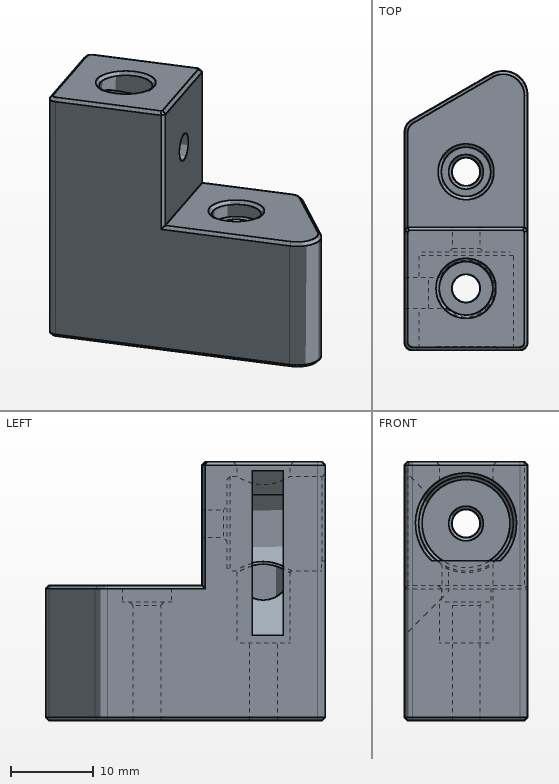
import cadquery as cq
import math

width = 15.0
length = 34.0
height = 31.5
shoulder_height = 16.45
tower_length = 15.0
edge_chamfer = 0.4
front_radius = 1.0

slant_angle = math.radians(30)
nose_radius = 2.95
rear_corner_radius = 1.77

center_x = width / 2
screw_diameter = 3.4

bore_diameter = 11.5
bore_height = 23.98
lip_height = 19.45
lip_thickness = 0.5
bore_depth = 12.0

pocket_diameter = 6.5
pocket_y = 7.55
pocket_bottom = 9.45
crossing_chamfer = 0.2

counterbore_diameter = 6.0
counterbore_y = 21.73
counterbore_depth = 2.0

slot_start_y = 5.1
slot_width = 3.8
slot_bottom = 10.4
slot_top = 30.4


def make_base():
    """Base block whose rear edge slants from a rounded corner up to a rounded nose."""
    nose_x = width - nose_radius
    nose_y = length - nose_radius
    tangent_x = nose_x - nose_radius * math.sin(slant_angle)
    tangent_y = nose_y + nose_radius * math.cos(slant_angle)
    corner_y = tangent_y - tangent_x * math.tan(slant_angle)
    mid_angle = (math.pi / 2 + slant_angle) / 2
    outline = (
        cq.Workplane("XY")
        .lineTo(width, 0)
        .lineTo(width, nose_y)
        .threePointArc(
            (nose_x + nose_radius * math.cos(mid_angle), nose_y + nose_radius * math.sin(mid_angle)),
            (tangent_x, tangent_y),
        )
        .lineTo(0, corner_y)
        .close()
    )
    base = outline.extrude(shoulder_height)
    base = base.edges("|Z and <Y").fillet(front_radius)
    rear_corner = cq.selectors.NearestToPointSelector((0, corner_y, shoulder_height / 2))
    base = base.edges(rear_corner).fillet(rear_corner_radius)
    return base.faces("<Z or >Z").chamfer(edge_chamfer)


def make_tower():
    """Square front tower, standing on the bottom chamfer of the base."""
    tower = cq.Workplane("XY").box(width, tower_length, height - edge_chamfer, centered=False)
    tower = tower.translate((0, 0, edge_chamfer))
    tower = tower.edges("|Z and <Y").fillet(front_radius)
    tower = tower.edges("|Z and >Y").chamfer(edge_chamfer)
    return tower.faces(">Z").chamfer(edge_chamfer)


def cylinder(diameter, start, end):
    """Solid cylinder between two points."""
    axis = cq.Vector(*end) - cq.Vector(*start)
    return cq.Workplane(obj=cq.Solid.makeCylinder(diameter / 2, axis.Length, cq.Vector(*start), axis))


def countersink(diameter, mouth, direction):
    """Cone that chamfers the mouth of a hole, narrowing along the given direction."""
    radius = diameter / 2
    cone = cq.Solid.makeCone(
        radius + edge_chamfer, radius, edge_chamfer, cq.Vector(*mouth), cq.Vector(*direction)
    )
    return cq.Workplane(obj=cone)


def make_bore():
    """Bore from the front, chamfered at its mouth and its blind end, with a screw hole behind."""
    mouth = (center_x, 0, bore_height)
    end = (center_x, bore_depth, bore_height)
    bore = cylinder(bore_diameter, mouth, end).faces(">Y").chamfer(edge_chamfer)
    bore = bore.union(countersink(bore_diameter, mouth, (0, 1, 0)))
    lip = cq.Workplane("XY").box(width, lip_thickness, lip_height, centered=False)
    bore = bore.cut(lip)
    screw_hole = cylinder(screw_diameter, end, (center_x, tower_length, bore_height))
    return bore.union(screw_hole).union(countersink(screw_diameter, end, (0, 1, 0)))


def make_pocket():
    """Vertical pocket, chamfered at the tower top, above a screw hole."""
    top = (center_x, pocket_y, height)
    bottom = (center_x, pocket_y, pocket_bottom)
    pocket = cylinder(pocket_diameter, bottom, top)
    pocket = pocket.union(countersink(pocket_diameter, top, (0, 0, -1)))
    return pocket.union(cylinder(screw_diameter, (center_x, pocket_y, 0), bottom))


def make_shoulder_hole():
    """Counterbored screw hole down through the base."""
    top = (center_x, counterbore_y, shoulder_height)
    seat = (center_x, counterbore_y, shoulder_height - counterbore_depth)
    hole = cylinder(counterbore_diameter, seat, top)
    hole = hole.union(countersink(counterbore_diameter, top, (0, 0, -1)))
    hole = hole.union(cylinder(screw_diameter, (center_x, counterbore_y, 0), seat))
    return hole.union(countersink(screw_diameter, seat, (0, 0, -1)))


def make_slot():
    """Triangular wedge opening on the side of the tower and running into the bore."""
    half_height = (slot_top - slot_bottom) / 2
    profile = [(0, slot_bottom), (half_height, slot_bottom + half_height), (0, slot_top)]
    wedge = cq.Workplane("XZ").polyline(profile).close().extrude(-slot_width)
    return wedge.translate((0, slot_start_y, 0))


def chamfer_crossing(body):
    """Break the curved edge where the pocket leaves the bottom of the bore."""
    bore_bottom = bore_height - bore_diameter / 2
    front_point = (center_x, pocket_y - pocket_diameter / 2, bore_bottom)
    return body.edges(cq.selectors.NearestToPointSelector(front_point)).chamfer(crossing_chamfer)


result = make_base().union(make_tower())
result = result.cut(make_bore()).cut(make_pocket())
result = chamfer_crossing(result)
result = result.cut(make_shoulder_hole()).cut(make_slot())